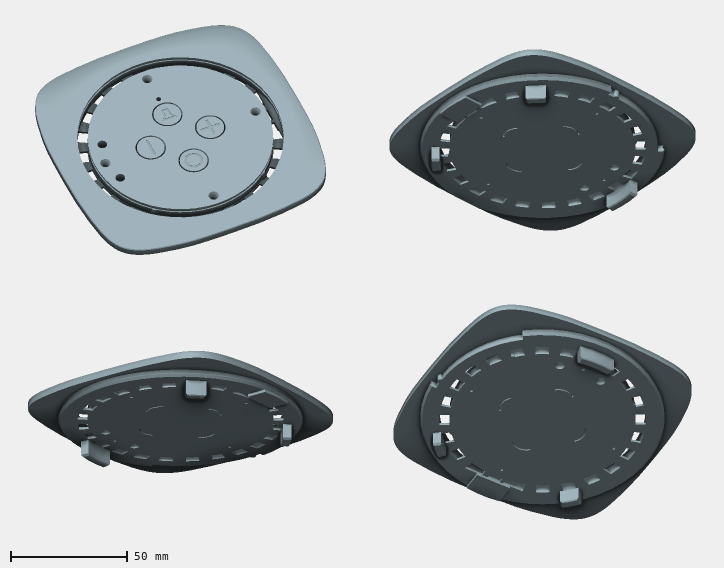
import cadquery as cq
import math

plate_size = 110.0
plate_thickness = 3.3
corner_reach = 66.0
shoulder_x = 53.4
shoulder_y = 28.6
plate_edge_chamfer = 0.3

base_z = -6.5
feet_z = -13.5
spoke_top_z = -5.4

opening_radius = 88.8 / 2
skirt_root_radius = 52.0
skirt_neck_radius = 51.6
skirt_neck_z = -4.5
ridge_radius = 52.6
ridge_z = -5.3
skirt_base_radius = 51.7

recess_radius = 49.6
recess_start_angle = 173.2
recess_end_angle = 230.6
detent_radius = 1.3
detent_y = 1.6

gap_groove_top_z = -1.0
gap_groove_bottom_z = -2.1
gap_groove_depth = 0.5

disc_radius = 79.8 / 2
slot_count = 24
slot_width = 5.9
slot_inner_radius = disc_radius + 0.2

lock_wall_y = 42.2
lock_wall_top_y = 44.4
open_slot_angle = 30.0
bridge_bars = ((-5.6, -3.1), (3.1, 4.5))
tab_half_width = 8.1
tab_height = 1.2

boss_base_radius = 6.0 / 2
boss_top_radius = 4.1 / 2
boss_circle_radius = 38.1
boss_angle = 40.0

foot_inner_radius = 44.2
foot_outer_radius = 47.8
front_foot_half_angle = 10.0
corner_foot_half_angle = 5.4
foot_end_chamfer = 0.9
foot_arc_chamfer = 0.4

button_offset = 14.0
button_gap_radius = 13.2 / 2
button_radius = 12.0 / 2
button_groove_depth = 1.6
button_open_angle = 90.0
symbol_depth = 0.2
symbol_length = 8.6
symbol_stroke = 1.2
symbol_ring_outer_radius = 8.0 / 2
symbol_ring_inner_radius = 6.0 / 2

screw_offset = 35.3
screw_head_radius = 4.5 / 2
screw_hole_diameter = 1.3
screw_cone_depth = 2.4
port_hole_diameter = 4.2
port_positions = ((-10.0, -32.3), (10.0, -32.8))
lamp_hole_diameter = 2.2
lamp_hole_x = -23.2
lamp_hole_depth = 3.3

cut_margin = 1.1


def polar(radius, angle):
    """Point at a radius and an angle in degrees."""
    turn = math.radians(angle)
    return radius * math.cos(turn), radius * math.sin(turn)


def quarter_turned(point, quarter):
    """Point turned about Z by a number of quarter turns."""
    x, y = point
    for _ in range(quarter):
        x, y = -y, x
    return x, y


def ring_sector(inner_radius, outer_radius, start_angle, end_angle, bottom_z, top_z):
    """Curved block between two radii, two angles and two heights."""
    middle_angle = (start_angle + end_angle) / 2
    return (
        cq.Workplane("XY", origin=(0, 0, bottom_z))
        .moveTo(*polar(inner_radius, start_angle))
        .lineTo(*polar(outer_radius, start_angle))
        .threePointArc(polar(outer_radius, middle_angle), polar(outer_radius, end_angle))
        .lineTo(*polar(inner_radius, end_angle))
        .threePointArc(polar(inner_radius, middle_angle), polar(inner_radius, start_angle))
        .close()
        .extrude(top_z - bottom_z)
    )


def disc(radius, bottom_z, top_z):
    return cq.Workplane("XY", origin=(0, 0, bottom_z)).circle(radius).extrude(top_z - bottom_z)


def cone(bottom_radius, top_radius, height):
    return cq.Workplane(cq.Solid.makeCone(bottom_radius, top_radius, height))


def bar(start_x, end_x, start_y, end_y, bottom_z, top_z):
    """Straight block given by its limits along each axis."""
    size = (end_x - start_x, end_y - start_y, top_z - bottom_z)
    return cq.Workplane("XY").box(*size, centered=False).translate((start_x, start_y, bottom_z))


def make_plate():
    """One smooth curve per corner, running from the middle of one side to the middle of the next."""
    half_size = plate_size / 2
    diagonal = corner_reach / math.sqrt(2)
    corner_points = ((shoulder_x, shoulder_y), (diagonal, diagonal), (shoulder_y, shoulder_x), (0, half_size))
    outline = cq.Workplane("XY", origin=(0, 0, -plate_thickness)).moveTo(half_size, 0)
    for quarter in range(4):
        outline = outline.spline(
            [quarter_turned(point, quarter) for point in corner_points],
            tangents=[quarter_turned((0, 1), quarter), quarter_turned((-1, 0), quarter)],
            includeCurrent=True,
        )
    plate = outline.close().extrude(plate_thickness)
    return plate.faces(">Z").chamfer(plate_edge_chamfer)


def make_skirt():
    """Round block with a V groove and a ridge, cut back over one stretch."""
    skirt = (
        cq.Workplane("XZ")
        .moveTo(0, base_z)
        .lineTo(skirt_base_radius, base_z)
        .lineTo(ridge_radius, ridge_z)
        .lineTo(skirt_neck_radius, skirt_neck_z)
        .lineTo(skirt_root_radius, -plate_thickness)
        .lineTo(0, -plate_thickness)
        .close()
        .revolve(360, (0, 0, 0), (0, 1, 0))
    )
    clear_radius = ridge_radius + cut_margin
    recess = ring_sector(
        recess_radius, clear_radius, recess_start_angle, recess_end_angle, base_z, -plate_thickness
    )
    detent = disc(detent_radius, base_z, -plate_thickness).translate((-recess_radius, detent_y, 0))
    return skirt.cut(recess).union(detent)


def make_gap_grooves():
    """One ring that cuts a groove into the rim of the disc and another into the wall of the opening."""
    outer = disc(opening_radius + gap_groove_depth, gap_groove_bottom_z, gap_groove_top_z)
    return outer.cut(disc(disc_radius - gap_groove_depth, gap_groove_bottom_z, gap_groove_top_z))


def make_slotted_floor():
    """Thin floor in the opening, leaving one spoke between each pair of slots."""
    slots = (
        cq.Workplane("XY", origin=(0, 0, base_z))
        .polarArray(opening_radius, 0, 360, slot_count)
        .rect(2 * (opening_radius - disc_radius), slot_width)
        .extrude(spoke_top_z - base_z)
    )
    open_start, open_end = 90 - open_slot_angle / 2, 90 + open_slot_angle / 2
    open_slot = ring_sector(disc_radius, opening_radius + cut_margin, open_start, open_end, base_z, spoke_top_z)
    floor = disc(opening_radius, base_z, spoke_top_z).cut(slots).cut(open_slot)
    floor = floor.union(disc(slot_inner_radius, base_z, spoke_top_z))
    for start_x, end_x in bridge_bars:
        floor = floor.union(bar(start_x, end_x, disc_radius - cut_margin, lock_wall_y, base_z, spoke_top_z))
    return floor


def make_lock_wall():
    """Wall across the +Y edge of the opening, leaning outward to the underside of the plate."""
    half_length = opening_radius / 2
    return (
        cq.Workplane("YZ", origin=(-half_length, 0, 0))
        .moveTo(lock_wall_y, base_z)
        .lineTo(lock_wall_y, spoke_top_z)
        .lineTo(lock_wall_top_y, -plate_thickness)
        .lineTo(recess_radius, -plate_thickness)
        .lineTo(recess_radius, base_z)
        .close()
        .extrude(2 * half_length)
        .intersect(disc(opening_radius + cut_margin, base_z, 0))
    )


def make_tab():
    """Low tab under the lock wall, rounded to the skirt on its outer side."""
    tab_z = base_z - tab_height
    tab = bar(-tab_half_width, tab_half_width, lock_wall_y, ridge_radius, tab_z, base_z)
    return tab.intersect(disc(skirt_root_radius, tab_z, base_z))


def make_boss(angle):
    height = -plate_thickness / 2 - base_z
    x, y = polar(boss_circle_radius, angle)
    return cone(boss_base_radius, boss_top_radius, height).translate((x, y, base_z))


def make_foot(angle, half_angle):
    foot = ring_sector(
        foot_inner_radius, foot_outer_radius, angle - half_angle, angle + half_angle, feet_z, base_z
    )
    foot = foot.faces("<Z").edges("%LINE").chamfer(foot_end_chamfer)
    return foot.faces("<Z").edges("%CIRCLE").chamfer(foot_arc_chamfer)


def make_button_gap(angle):
    """Tapered groove around a button, cut right through on the side away from the disc centre."""
    groove = (
        cq.Workplane("XZ")
        .moveTo(button_radius, 0)
        .lineTo(button_gap_radius, 0)
        .lineTo(button_radius, -button_groove_depth)
        .close()
        .revolve(360, (0, 0, 0), (0, 1, 0))
    )
    half_angle = button_open_angle / 2
    through_gap = ring_sector(button_radius, button_gap_radius, -half_angle, half_angle, base_z, 0)
    gap = groove.union(through_gap).translate((button_offset, 0, 0))
    return gap.rotate((0, 0, 0), (0, 0, 1), angle)


def make_symbols():
    """Shallow plus, minus, ring and loudspeaker engraved in the buttons."""

    def button_plane(angle):
        return cq.Workplane("XY", origin=(*polar(button_offset, angle), -symbol_depth))

    plus = button_plane(90).rect(symbol_length, symbol_stroke).extrude(symbol_depth)
    plus = plus.union(button_plane(90).rect(symbol_stroke, symbol_length).extrude(symbol_depth))
    minus = button_plane(270).rect(symbol_length, symbol_stroke).extrude(symbol_depth)
    ring = (
        button_plane(0).circle(symbol_ring_outer_radius).circle(symbol_ring_inner_radius).extrude(symbol_depth)
    )

    back_x, neck_x, mouth_x = -3.1, -0.1, 2.6
    back_half, mouth_half = 1.5, 3.4
    line_width = 0.8
    speaker_outline = (
        (back_x, -back_half),
        (neck_x, -back_half),
        (mouth_x, -mouth_half),
        (mouth_x, mouth_half),
        (neck_x, back_half),
        (back_x, back_half),
    )
    speaker = button_plane(180).polyline(speaker_outline).close().extrude(symbol_depth)
    core = button_plane(180).polyline(speaker_outline).close().offset2D(-line_width).extrude(symbol_depth)
    return plus, minus, ring, speaker.cut(core)


def make_screw_hole(angle):
    """Countersunk hole: a cone that narrows to a small through hole."""
    hole_radius = screw_hole_diameter / 2
    sink = cone(hole_radius, screw_head_radius, screw_cone_depth).translate((0, 0, -screw_cone_depth))
    return sink.union(disc(hole_radius, base_z, 0)).translate((*polar(screw_offset, angle), 0))


result = make_plate().union(make_skirt()).cut(disc(opening_radius, base_z, 0))

result = result.union(make_slotted_floor()).union(disc(disc_radius, base_z, 0))
result = result.union(make_lock_wall()).union(make_tab())
for angle in (boss_angle, 180 - boss_angle, 180 + boss_angle, -boss_angle):
    result = result.union(make_boss(angle))

result = result.cut(make_gap_grooves())

result = result.union(make_foot(270, front_foot_half_angle))
for angle in (45, 135):
    result = result.union(make_foot(angle, corner_foot_half_angle))

for angle in (0, 90, 180, 270):
    result = result.cut(make_button_gap(angle)).cut(make_screw_hole(angle))
for symbol in make_symbols():
    result = result.cut(symbol)

for x, y in port_positions:
    result = result.cut(disc(port_hole_diameter / 2, base_z, 0).translate((x, y, 0)))
result = result.cut(disc(lamp_hole_diameter / 2, -lamp_hole_depth, 0).translate((lamp_hole_x, 0, 0)))